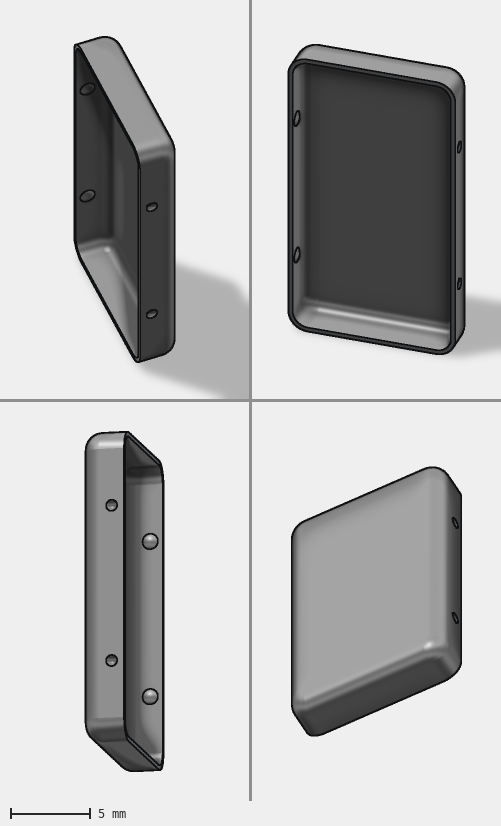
import cadquery as cq
import math

width = 11.1
depth = 2.7
height = 19.9
corner_radius = 1.3
outer_edge_radius = 1.07

wall = 0.3
cavity_edge_radius = 0.8
cavity_corner_radius = corner_radius - wall

dimple_mouth_radius = 0.35
bump_base_radius = 0.5
dimple_depth = 0.25
bump_height = 0.15
bump_spacing = 9.99
bump_from_rim = 0.8

front_y = -depth / 2
back_y = depth / 2


def rounded_block(size_x, size_z, y_back, vertical_radius, edge_radius):
    """Block from the open face to y_back, rounded at its corners and back edge."""
    length = y_back - front_y
    return (
        cq.Workplane("XZ", origin=(0, front_y, 0))
        .rect(size_x, size_z)
        .extrude(-length)
        .edges("|Y")
        .fillet(vertical_radius)
        .faces(">Y")
        .edges()
        .fillet(edge_radius)
    )


def inward_cap(side, z, wall_x, base_radius, rise):
    """Spherical cap on the plane X = side * wall_x, rising toward the part's middle."""
    sphere_radius = (base_radius**2 + rise**2) / (2 * rise)
    half_angle = math.asin(base_radius / sphere_radius) / 2
    mid_point = (
        side * (wall_x - rise + sphere_radius * (1 - math.cos(half_angle))),
        sphere_radius * math.sin(half_angle),
    )
    return (
        cq.Workplane("XY", origin=(0, front_y + bump_from_rim, z))
        .moveTo(side * wall_x, 0)
        .lineTo(side * wall_x, base_radius)
        .threePointArc(mid_point, (side * (wall_x - rise), 0))
        .close()
        .revolve(360, (0, 0), (1, 0))
    )


tray = rounded_block(width, height, back_y, corner_radius, outer_edge_radius)
cavity = rounded_block(
    width - 2 * wall,
    height - 2 * wall,
    back_y - wall,
    cavity_corner_radius,
    cavity_edge_radius,
)
result = tray.cut(cavity)

for side in (-1, 1):
    for z in (-bump_spacing / 2, bump_spacing / 2):
        bump = inward_cap(side, z, width / 2 - wall, bump_base_radius, bump_height)
        dimple = inward_cap(side, z, width / 2, dimple_mouth_radius, dimple_depth)
        result = result.union(bump).cut(dimple)